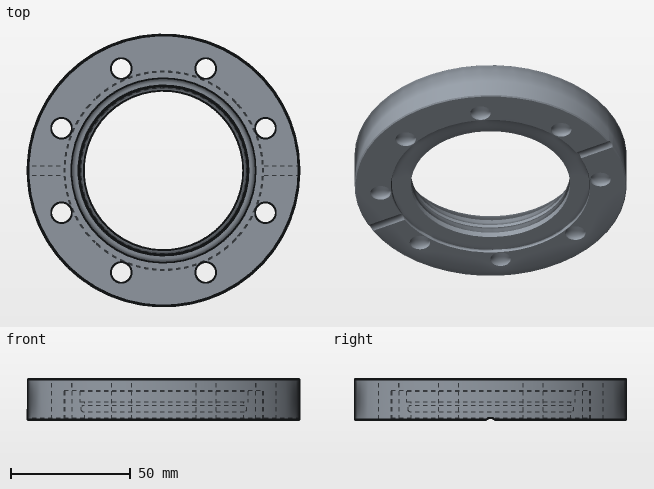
import cadquery as cq

ring_diameter = 113.5
ring_height = 17.5
rim_chamfer = 0.5
lip_bore_diameter = 77.0
lip_height = 4.9
recess_diameter = 83.2

bolt_count = 8
bolt_hole_diameter = 8.5
bolt_circle_diameter = 92.0
first_bolt_angle = 180 / bolt_count

channel_width = 4.1
channel_depth = 1.0

insert_diameter = 82.4
insert_setback = 1.1
insert_bore_diameter = 66.4
socket_diameter = 70.1
socket_depth = 4.8
socket_chamfer = 0.5

groove_width = 2.8
groove_height = 5.0

recess_depth = ring_height - lip_height
insert_height = recess_depth - insert_setback


def disc(diameter, height, bottom=0.0):
    """Solid cylinder on the Z axis."""
    return cq.Workplane("XY").workplane(offset=bottom).circle(diameter / 2).extrude(height)


def make_channel():
    """Cutter for the channel: a circular segment carried across the ring along X."""
    half_width = channel_width / 2
    return (
        cq.Workplane("YZ")
        .moveTo(-half_width, 0)
        .threePointArc((0, channel_depth), (half_width, 0))
        .close()
        .extrude(ring_diameter / 2, both=True)
    )


def make_ring():
    """Bolt ring with an inner lip at the top and a recess below it."""
    body = disc(ring_diameter, ring_height).edges().chamfer(rim_chamfer)
    body = body.cut(disc(lip_bore_diameter, ring_height))
    body = body.cut(disc(recess_diameter, recess_depth))
    bolt_holes = (
        cq.Workplane("XY")
        .polarArray(bolt_circle_diameter / 2, first_bolt_angle, 360, bolt_count)
        .circle(bolt_hole_diameter / 2)
        .extrude(ring_height)
    )
    return body.cut(bolt_holes).cut(make_channel())


def make_bore_groove():
    """Torus centred on the bore wall, cutting a half-round groove."""
    return (
        cq.Workplane("XZ")
        .center(insert_bore_diameter / 2, groove_height)
        .circle(groove_width / 2)
        .revolve(360, (-insert_bore_diameter / 2, 0), (-insert_bore_diameter / 2, 1))
    )


def make_insert():
    """Sleeve with a chamfered socket at the top and a grooved bore."""
    body = disc(insert_diameter, insert_height, insert_setback)
    body = body.cut(disc(insert_bore_diameter, insert_height, insert_setback))
    body = body.cut(disc(socket_diameter, socket_depth, recess_depth - socket_depth))
    body = body.faces(">Z").edges(cq.selectors.RadiusNthSelector(0)).chamfer(socket_chamfer)
    return body.cut(make_bore_groove())


ring = make_ring()
insert = make_insert()
result = cq.Compound.makeCompound([ring.val(), insert.val()])